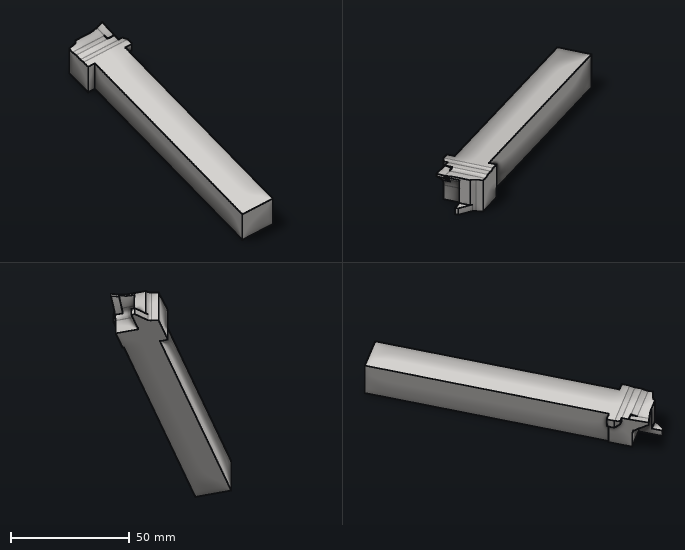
import cadquery as cq
import math

overall_length = 128.3
height = 15.88
head_width = 20.0
head_back_x = 20.8

shank_side = height
shank_y = 3.5

nose_x = 6.95
flat_end = (6.1, 3.05)
scallop_end = (4.6, 5.0)
scallop_depth = 0.3
wall_end_y = 12.0
sweep_end = (4.24, 14.8)
sweep_mid = (4.5, 13.4)
lip_x = 3.1

toe_height = 3.175
toe_inner_y = 10.0
toe_tip_y = 8.45
toe_root = (5.8, 4.1)
toe_overlap = 2.0

land_z = 15.5
upper_step_x = 17.35
land_back_x = 15.03
land_front_x = 11.93
deck_back_x = 9.2
deck_low_z = 14.95
deck_rake = math.radians(2.5)
step_arc_angle = math.radians(18)

strip_y = 16.6
strip_rise = 0.65

back_wall_x = 10.4
hollow_radius = 5.38
hollow_arc_z = 7.0
lip_bottom_z = 15.2
hollow_slope = math.radians(37)
strip_lip_bottom_z = 14.55
strip_hollow_end_z = 9.5

flange_y = 23.0
flange_front_y = 22.0
flange_corner = 0.6
flange_front_z = 13.65
flange_bottom_z = 11.9
flange_slope = math.radians(37)

margin = 1.0


def prism_along_y(outline, y_start, y_end):
    """Sweep a closed XZ outline from y_start to y_end."""
    return outline.extrude(y_start - y_end).translate((0, y_start, 0))


def deck_z(x):
    return deck_low_z + (deck_back_x - x) * math.tan(deck_rake)


def make_shank():
    length = overall_length - head_back_x
    shank = cq.Workplane("XY").box(length, shank_side, height, centered=False)
    return shank.translate((head_back_x, shank_y, 0))


def make_head_block():
    outline = (
        cq.Workplane("XY")
        .moveTo(nose_x, 0)
        .lineTo(*flat_end)
        .sagittaArc(scallop_end, -scallop_depth)
        .lineTo(scallop_end[0], wall_end_y)
        .threePointArc(sweep_mid, sweep_end)
        .lineTo(lip_x, head_width)
        .lineTo(head_back_x, head_width)
        .lineTo(head_back_x, 0)
        .close()
    )
    return outline.extrude(height)


def make_toe():
    outline = cq.Workplane("XY").polyline(
        [
            (0, toe_inner_y),
            (0, toe_tip_y),
            toe_root,
            (toe_root[0] + toe_overlap, toe_root[1]),
            (toe_root[0] + toe_overlap, toe_inner_y),
        ]
    ).close()
    return outline.extrude(toe_height)


def make_flange():
    """Overhanging flange with a slanted front corner and a sloping underside."""
    plan = (
        cq.Workplane("XY")
        .polyline(
            [
                (land_back_x, head_width - margin),
                (land_back_x, flange_front_y),
                (upper_step_x, flange_y),
                (head_back_x, flange_y),
                (head_back_x, head_width - margin),
            ]
        )
        .close()
        .extrude(height)
        .edges("|Z and >X and >Y")
        .fillet(flange_corner)
    )
    slope_end_x = land_back_x + (flange_front_z - flange_bottom_z) / math.tan(flange_slope)
    side = cq.Workplane("XZ").polyline(
        [
            (land_back_x, height),
            (land_back_x, flange_front_z),
            (slope_end_x, flange_bottom_z),
            (head_back_x, flange_bottom_z),
            (head_back_x, height),
        ]
    ).close()
    return plan.intersect(prism_along_y(side, 0, flange_y + margin))


def rising_arc(outline, start_x, start_z, end_x, end_z):
    """Hollow arc from a higher end down to its start, which is close to level."""
    chord = math.hypot(end_x - start_x, end_z - start_z)
    sagitta = chord / 2 * math.tan(step_arc_angle / 4)
    return outline.sagittaArc((start_x, start_z), sagitta)


def make_top_cut():
    """Space above the deck, the land and the hollow arcs behind them."""
    outline = cq.Workplane("XZ").moveTo(upper_step_x, height + margin).lineTo(upper_step_x, height)
    outline = rising_arc(outline, land_back_x, land_z, upper_step_x, height)
    outline = outline.lineTo(land_front_x, land_z)
    outline = rising_arc(outline, deck_back_x, deck_low_z, land_front_x, land_z)
    outline = outline.lineTo(0, deck_z(0)).lineTo(0, height + margin).close()
    return prism_along_y(outline, -margin, flange_y + margin)


def make_strip_zone():
    """Column that holds the blade's outer strip, in front of the land."""
    strip_width = head_width - strip_y
    zone = cq.Workplane("XY").box(land_front_x, strip_width, 2 * height, centered=False)
    return zone.translate((0, strip_y, 0))


def make_strip_body():
    """Solid below the strip's tilted top plane, which follows the deck's rake."""
    section = cq.Workplane("YZ").polyline(
        [
            (strip_y, 0),
            (strip_y, deck_z(0)),
            (head_width, deck_z(0) + strip_rise),
            (head_width, 0),
        ]
    ).close()
    rake_path = cq.Workplane("XZ").lineTo(land_front_x, -land_front_x * math.tan(deck_rake))
    return section.sweep(rake_path)


def make_hollow(y_start, y_end, lip_z, slope_end):
    """Space under the blade: a slope down from the lip, an arc, then an upright wall."""
    arc_center_x = back_wall_x - hollow_radius
    end_angle = math.asin((slope_end[1] - hollow_arc_z) / hollow_radius)
    arc_mid = (
        arc_center_x + hollow_radius * math.cos(end_angle / 2),
        hollow_arc_z + hollow_radius * math.sin(end_angle / 2),
    )
    slope = (lip_z - slope_end[1]) / (slope_end[0] - lip_x)
    outline = (
        cq.Workplane("XZ")
        .moveTo(0, -margin)
        .lineTo(0, lip_z + slope * lip_x)
        .lineTo(*slope_end)
        .threePointArc(arc_mid, (back_wall_x, hollow_arc_z))
        .lineTo(back_wall_x, -margin)
        .close()
    )
    return prism_along_y(outline, y_start, y_end)


def arc_point_at_height(z):
    rise = z - hollow_arc_z
    return (back_wall_x - hollow_radius + math.sqrt(hollow_radius**2 - rise**2), z)


head = make_head_block()
strip = head.intersect(make_strip_body())
head = head.cut(make_top_cut()).cut(make_strip_zone()).union(strip)

tangent_z = hollow_arc_z + hollow_radius * math.cos(hollow_slope)
head = head.cut(make_hollow(toe_inner_y, strip_y, lip_bottom_z, arc_point_at_height(tangent_z)))
strip_slope_end = arc_point_at_height(strip_hollow_end_z)
head = head.cut(make_hollow(strip_y, head_width + margin, strip_lip_bottom_z, strip_slope_end))

flange = make_flange().cut(make_top_cut())
result = make_shank().union(head).union(flange).union(make_toe())